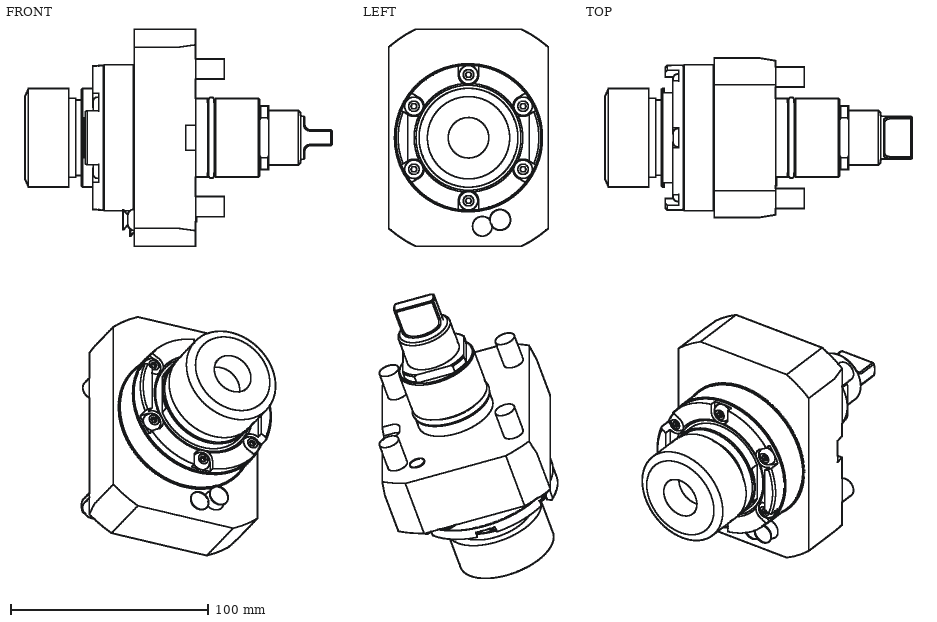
import cadquery as cq
import math


NUT_BACK = 22.3
NECK_STEP = 25.8
COLLAR_FRONT = 28.6
COLLAR_RIM_BACK = 30.2
CAP_FRONT = 34.4
POCKET_FLOOR = 37.4
CAP_BACK = 39.7
HOUSING_FRONT = 40.2
HOUSING_BACK = 55.0
PLATE_FRONT = 55.4
PLATE_TAPER_START = 78.0
PLATE_BACK = 86.5
RING_GROOVE_FRONT = 92.6
RING_GROOVE_BACK = 96.7
SPIGOT_BACK = 119.0
SQUARE_BACK = 123.6
SHAFT_BACK = 139.6
TANG_SHOULDER = 141.8
TANG_END = 155.7

NUT_RADIUS = 25.0
NUT_CHAMFER_LENGTH = 1.9
NUT_FACE_RADIUS = 20.9
BORE_RADIUS = 10.3
BORE_DEPTH = 13.2
NECK_RADIUS = 20.1
NECK_GROOVE_RADIUS = 19.1
COLLAR_FLAT_Y = 22.9
COLLAR_CHAMFER = 0.6

CAP_RADIUS = 36.7
HOUSING_RADIUS = 37.0
GROOVE_RADIUS = 36.3
CAP_MOUTH_RADIUS = 27.5
CAP_RECESS_RADIUS = 26.6
CAP_RECESS_DEPTH = 0.5
EAR_HEIGHT = 3.9
EAR_INNER_Y = 30.7
EAR_HALF_WIDTH = 18.7
EAR_CHAMFER = 1.1

SCREW_COUNT = 6
SCREW_CIRCLE_RADIUS = 31.9
POCKET_RADIUS = 5.1
SCREW_HEAD_RADIUS = 4.7
SCREW_TOP_RADIUS = 2.6
SCREW_HEAD_HEIGHT = 2.8
SOCKET_DIAMETER = 3.1
SOCKET_DEPTH = 1.5

PLATE_WIDTH = 81.0
PLATE_HEIGHT = 110.0
PLATE_CORNER_RADIUS = 61.2
PLATE_TAPER = 1.4
FACE_RECESS_RADIUS = 37.5
FACE_RECESS_DEPTH = 0.6
NOTCH_WIDTH = 12.8
NOTCH_LENGTH_X = 5.1
NOTCH_DEPTH = 9.3
NOTCH_FILLET = 4.7
PIN_RADIUS = 5.1
PIN_LENGTH = 14.5
PIN_Y = 30.8
PIN_Z = 34.9

BUTTON_Y, BUTTON_Z = -16.0, -41.5
BUTTON_RADIUS = 5.3
BUTTON_TOP_RADIUS = 2.6
BUTTON_HEIGHT = 3.3
FLAT_HEAD_RADIUS = 5.1
FLAT_HEAD_HEIGHT = 2.6
RIM_HEIGHT = 0.5
PLUG_Y, PLUG_Z = -7.0, -44.8
PLUG_RADIUS = 5.0
PLUG_BASE_RADIUS = 2.8
PLUG_HEIGHT = 2.2
BACK_DISC_Y, BACK_DISC_Z = -20.4, -38.6
BACK_DISC_RADIUS = 3.9
BACK_DISC_HEIGHT = 0.5

SPIGOT_RADIUS = 20.0
RING_GROOVE_RADIUS = 17.9
RING_CENTRE = 94.5
RING_OUTER_RADIUS = 20.5
RING_THICKNESS = 2.8
SPIGOT_CHAMFER = 0.6
SQUARE_SIDE = 32.4
SQUARE_CORNER_RADIUS = 19.1
SQUARE_CORNER_CHAMFER = 0.6
SHAFT_RADIUS = 13.9
SHAFT_CHAMFER = 1.1
TANG_RADIUS = 10.9
TANG_THICKNESS = 8.0
TANG_FILLET = 2.8
TANG_EDGE_CHAMFER = 0.6
TANG_ROOT_FILLET = 1.0

OVERLAP = 0.8


def cylinder(start, end, radius, y=0, z=0):
    """Round bar along X from start to end."""
    return cq.Workplane("YZ", origin=(start, y, z)).circle(radius).extrude(end - start)


def turned(profile, y=0, z=0):
    """Turn an outline, drawn as distance along X and radius, around an axis parallel to X."""
    return profile.close().revolve(360, (0, 0, 0), (1, 0, 0)).translate((0, y, z))


def cone(start, end, start_radius, end_radius, y=0, z=0):
    outline = cq.Workplane("XY").moveTo(start, 0).lineTo(start, start_radius).lineTo(end, end_radius)
    return turned(outline.lineTo(end, 0), y, z)


def domed_head(base, height, base_radius, top_radius, y, z):
    """Button head that bulges toward -X from its base, with a flat top."""
    bulge = math.pi / 4
    middle_x = base - height * math.sin(bulge)
    middle_radius = top_radius + (base_radius - top_radius) * math.cos(bulge)
    outline = (
        cq.Workplane("XY")
        .moveTo(base + OVERLAP, 0)
        .lineTo(base + OVERLAP, base_radius)
        .lineTo(base, base_radius)
        .threePointArc((middle_x, middle_radius), (base - height, top_radius))
        .lineTo(base - height, 0)
    )
    return turned(outline, y, z)


def make_nut_and_collar():
    nut = cone(0, NUT_CHAMFER_LENGTH, NUT_FACE_RADIUS, NUT_RADIUS)
    nut = nut.union(cylinder(NUT_CHAMFER_LENGTH, NUT_BACK, NUT_RADIUS))
    nut = nut.union(cylinder(NUT_BACK, NECK_STEP, NECK_RADIUS))
    nut = nut.union(cylinder(NECK_STEP, COLLAR_FRONT, NECK_GROOVE_RADIUS))
    nut = nut.union(cylinder(COLLAR_FRONT, COLLAR_RIM_BACK, NUT_RADIUS).faces("<X").chamfer(COLLAR_CHAMFER))
    flats = cq.Workplane("XY").box(2 * CAP_BACK, 2 * COLLAR_FLAT_Y, 2 * NUT_RADIUS)
    return nut.union(cylinder(COLLAR_RIM_BACK, CAP_BACK, NUT_RADIUS).intersect(flats))


def make_ears():
    """Two raised ring segments at -Y and +Y, standing proud of the cap."""
    top = CAP_FRONT - EAR_HEIGHT
    ring = cone(top, top + EAR_CHAMFER, CAP_RADIUS - EAR_CHAMFER, CAP_RADIUS)
    ring = ring.union(cylinder(top + EAR_CHAMFER, CAP_FRONT + OVERLAP, CAP_RADIUS))
    radial_depth = CAP_RADIUS - EAR_INNER_Y
    span = cq.Workplane("XY").pushPoints(
        [(CAP_FRONT, side * (EAR_INNER_Y + radial_depth / 2)) for side in (-1, 1)]
    ).box(2 * EAR_HEIGHT, radial_depth, 2 * EAR_HALF_WIDTH)
    return ring.intersect(span)


def screw_angles():
    return [360 / SCREW_COUNT * index for index in range(SCREW_COUNT)]


def make_screw_pocket():
    """Round-ended pocket in line with +Z, open at the rim and in front."""
    front = CAP_FRONT - 2 * EAR_HEIGHT
    pocket = cylinder(front, POCKET_FLOOR, POCKET_RADIUS, z=SCREW_CIRCLE_RADIUS)
    way_out = cq.Workplane("XY").box(
        POCKET_FLOOR - front, 2 * POCKET_RADIUS, SCREW_CIRCLE_RADIUS, centered=(False, True, False)
    )
    return pocket.union(way_out.translate((front, 0, SCREW_CIRCLE_RADIUS)))


def make_cap_screw():
    head = domed_head(
        POCKET_FLOOR, SCREW_HEAD_HEIGHT, SCREW_HEAD_RADIUS, SCREW_TOP_RADIUS, 0, SCREW_CIRCLE_RADIUS
    )
    head_top = (POCKET_FLOOR - SCREW_HEAD_HEIGHT, 0, SCREW_CIRCLE_RADIUS)
    return head.cut(cq.Workplane("YZ", origin=head_top).polygon(6, SOCKET_DIAMETER).extrude(SOCKET_DEPTH))


def make_cap():
    cap = cylinder(CAP_FRONT, CAP_BACK, CAP_RADIUS)
    cap = cap.union(cylinder(CAP_BACK, HOUSING_FRONT, GROOVE_RADIUS))
    cap = cap.union(cylinder(HOUSING_FRONT, HOUSING_BACK, HOUSING_RADIUS))
    cap = cap.union(cylinder(HOUSING_BACK, PLATE_FRONT + FACE_RECESS_DEPTH, GROOVE_RADIUS))
    cap = cap.cut(cone(CAP_FRONT, CAP_FRONT + CAP_RECESS_DEPTH, CAP_MOUTH_RADIUS, CAP_RECESS_RADIUS))
    cap = cap.union(make_ears())
    for angle in screw_angles():
        cap = cap.cut(make_screw_pocket().rotate((0, 0, 0), (1, 0, 0), angle))
    return cap


def make_plate():
    taper_length = PLATE_BACK - PLATE_TAPER_START
    half_width = PLATE_WIDTH / 2
    plan = (
        cq.Workplane("XY", origin=(0, 0, -PLATE_HEIGHT / 2))
        .moveTo(PLATE_FRONT, -half_width)
        .lineTo(PLATE_TAPER_START, -half_width)
        .line(taper_length, PLATE_TAPER)
        .lineTo(PLATE_BACK, half_width - PLATE_TAPER)
        .line(-taper_length, PLATE_TAPER)
        .lineTo(PLATE_FRONT, half_width)
        .close()
    )
    plate = plan.extrude(PLATE_HEIGHT)
    plate = plate.intersect(cylinder(PLATE_FRONT, PLATE_BACK, PLATE_CORNER_RADIUS))
    return plate.cut(cylinder(PLATE_FRONT, PLATE_FRONT + FACE_RECESS_DEPTH, FACE_RECESS_RADIUS))


def make_notch():
    """Locating notch in the back edge of the -Y side, with rounded inner corners."""
    notch = cq.Workplane("XY").box(NOTCH_LENGTH_X, 2 * NOTCH_DEPTH, NOTCH_WIDTH, centered=(False, True, True))
    notch = notch.edges("|X and >Y").fillet(NOTCH_FILLET)
    return notch.translate((PLATE_BACK - NOTCH_LENGTH_X, PLATE_TAPER - PLATE_WIDTH / 2, 0))


def make_pins():
    points = [(side * PIN_Y, level * PIN_Z) for side in (-1, 1) for level in (-1, 1)]
    return (
        cq.Workplane("YZ", origin=(PLATE_BACK - OVERLAP, 0, 0))
        .pushPoints(points)
        .circle(PIN_RADIUS)
        .extrude(PIN_LENGTH + OVERLAP)
    )


def countersunk_head(base, height, rim_radius, base_radius, y, z):
    """Flat head facing -X, with a thin rim and a cone narrowing down to its base."""
    top = base - height
    rim = cylinder(top, top + RIM_HEIGHT, rim_radius, y, z)
    return rim.union(cone(top + RIM_HEIGHT, base, rim_radius, base_radius, y, z))


def make_plate_fittings():
    """Button head with a flat head on top and a separate plug in front, and a thin disc at the back."""
    button = domed_head(PLATE_FRONT, BUTTON_HEIGHT, BUTTON_RADIUS, BUTTON_TOP_RADIUS, BUTTON_Y, BUTTON_Z)
    flat_head = countersunk_head(
        PLATE_FRONT - BUTTON_HEIGHT, FLAT_HEAD_HEIGHT, FLAT_HEAD_RADIUS, BUTTON_TOP_RADIUS, BUTTON_Y, BUTTON_Z
    )
    plug = countersunk_head(PLATE_FRONT, PLUG_HEIGHT, PLUG_RADIUS, PLUG_BASE_RADIUS, PLUG_Y, PLUG_Z)
    disc = cylinder(PLATE_BACK, PLATE_BACK + BACK_DISC_HEIGHT, BACK_DISC_RADIUS, BACK_DISC_Y, BACK_DISC_Z)
    return button.union(flat_head).union(plug).union(disc)


def make_spigot():
    spigot = cylinder(PLATE_BACK - OVERLAP, SPIGOT_BACK, SPIGOT_RADIUS).faces(">X").chamfer(SPIGOT_CHAMFER)
    groove = cylinder(RING_GROOVE_FRONT, RING_GROOVE_BACK, SPIGOT_RADIUS + OVERLAP)
    spigot = spigot.cut(groove.cut(cylinder(RING_GROOVE_FRONT, RING_GROOVE_BACK, RING_GROOVE_RADIUS)))
    ring_path_radius = RING_OUTER_RADIUS - RING_THICKNESS / 2
    ring = (
        cq.Workplane("XY")
        .center(RING_CENTRE, ring_path_radius)
        .circle(RING_THICKNESS / 2)
        .revolve(360, (0, -ring_path_radius, 0), (1, -ring_path_radius, 0))
    )
    square = cq.Workplane("YZ", origin=(SPIGOT_BACK, 0, 0)).rect(SQUARE_SIDE, SQUARE_SIDE)
    square = square.extrude(SQUARE_BACK - SPIGOT_BACK)
    turning = cylinder(SPIGOT_BACK, SQUARE_BACK, SQUARE_CORNER_RADIUS).edges().chamfer(SQUARE_CORNER_CHAMFER)
    square = square.intersect(turning)
    shaft = cylinder(SQUARE_BACK, SHAFT_BACK, SHAFT_RADIUS).faces(">X").chamfer(SHAFT_CHAMFER)
    return spigot.union(ring).union(square).union(shaft)


def make_tang():
    """Flat drive tang cut from a round bar, with concave run-outs and bevelled edges."""
    half_thickness = TANG_THICKNESS / 2
    tang = cylinder(SHAFT_BACK, TANG_END, TANG_RADIUS)
    for side in (-1, 1):
        relief = (
            cq.Workplane("XZ")
            .moveTo(TANG_END, side * half_thickness)
            .lineTo(TANG_SHOULDER + TANG_FILLET, side * half_thickness)
            .radiusArc((TANG_SHOULDER, side * (half_thickness + TANG_FILLET)), side * TANG_FILLET)
            .lineTo(TANG_SHOULDER, side * 2 * TANG_RADIUS)
            .lineTo(TANG_END, side * 2 * TANG_RADIUS)
            .close()
            .extrude(TANG_RADIUS, both=True)
        )
        tang = tang.cut(relief)
    tang = tang.edges("|X").chamfer(TANG_EDGE_CHAMFER)
    tang = tang.faces(">X").edges().chamfer(TANG_EDGE_CHAMFER)
    root = (
        cq.Workplane("XY")
        .moveTo(SHAFT_BACK, 0)
        .lineTo(SHAFT_BACK, TANG_RADIUS + TANG_ROOT_FILLET)
        .radiusArc((SHAFT_BACK + TANG_ROOT_FILLET, TANG_RADIUS), -TANG_ROOT_FILLET)
        .lineTo(SHAFT_BACK + TANG_ROOT_FILLET, 0)
    )
    return tang.union(turned(root))


result = make_plate().cut(make_notch())
result = result.union(make_cap())
result = result.union(make_nut_and_collar())
for screw_angle in screw_angles():
    result = result.union(make_cap_screw().rotate((0, 0, 0), (1, 0, 0), screw_angle))
result = result.cut(cylinder(0, BORE_DEPTH, BORE_RADIUS))
result = result.union(make_pins())
result = result.union(make_plate_fittings())
result = result.union(make_spigot())
result = result.union(make_tang())